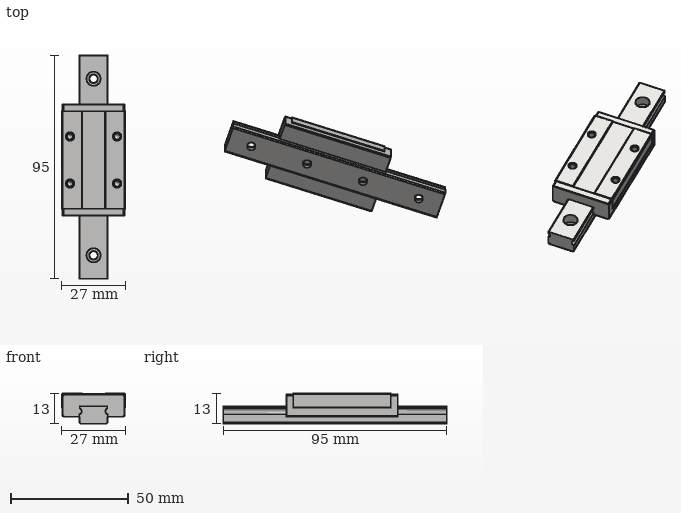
import cadquery as cq
import math

RAIL_LENGTH = 95.0
RAIL_WIDTH = 12.0
RAIL_HEAD_WIDTH = 11.8
RAIL_HEIGHT = 7.5
RAIL_BOTTOM_CHAMFER = 0.6
RAIL_TOP_CHAMFER = 0.15
GROOVE_TOP_Z = 6.6
GROOVE_BOTTOM_Z = 4.0
GROOVE_DEEPEST_Z = 5.2
GROOVE_HALF_SPAN = 5.05

RAIL_HOLE_COUNT = 4
RAIL_HOLE_PITCH = 25.0
RAIL_HOLE_DIAMETER = 3.5
RAIL_COUNTERBORE_DIAMETER = 6.0
RAIL_COUNTERBORE_FLOOR_Z = 3.0

CARRIAGE_Y = 3.0
FRAME_LENGTH = 47.5
FRAME_WIDTH = 26.4
FRAME_BOTTOM_Z = 3.0
FRAME_TOP_Z = 12.5
FRAME_CHAMFER = 0.5
FRAME_END_CHAMFER = 0.2

BLOCK_LENGTH = 41.4
BLOCK_WIDTH = 27.0
BLOCK_BOTTOM_Z = 6.9
BLOCK_TOP_Z = 13.0
BLOCK_CHAMFER = 0.5
BLOCK_BOTTOM_CHAMFER = 0.2
CHANNEL_FLOOR_WIDTH = 9.6
CHANNEL_WIDTH = 10.2
CHANNEL_DEPTH = 0.3

MOUNT_SPACING = 20.0
MOUNT_DIAMETER = 2.6
MOUNT_MOUTH_DIAMETER = 3.6
MOUNT_DEPTH = 3.5
MOUNT_TIP_ANGLE = 118.0


def make_rail():
    """Rail bar with a round ball groove along each side."""
    half_width = RAIL_WIDTH / 2
    half_head = RAIL_HEAD_WIDTH / 2
    right_half = (
        cq.Workplane("XZ", origin=(0, RAIL_LENGTH / 2, 0))
        .lineTo(half_width - RAIL_BOTTOM_CHAMFER, 0)
        .lineTo(half_width, RAIL_BOTTOM_CHAMFER)
        .lineTo(half_width, GROOVE_BOTTOM_Z)
        .threePointArc((GROOVE_HALF_SPAN, GROOVE_DEEPEST_Z), (half_head, GROOVE_TOP_Z))
        .lineTo(half_head, RAIL_HEIGHT - RAIL_TOP_CHAMFER)
        .lineTo(half_head - RAIL_TOP_CHAMFER, RAIL_HEIGHT)
        .lineTo(0, RAIL_HEIGHT)
        .close()
        .extrude(RAIL_LENGTH)
    )
    return right_half.union(right_half.mirror("YZ"))


def make_rail_hole_cutters():
    """Counterbored through holes, evenly pitched about the rail centre."""
    centres = cq.Workplane("XY").rarray(1, RAIL_HOLE_PITCH, 1, RAIL_HOLE_COUNT)
    shanks = centres.circle(RAIL_HOLE_DIAMETER / 2).extrude(RAIL_HEIGHT)
    head_height = RAIL_HEIGHT - RAIL_COUNTERBORE_FLOOR_Z
    heads = centres.circle(RAIL_COUNTERBORE_DIAMETER / 2).extrude(head_height)
    return shanks.union(heads.translate((0, 0, RAIL_COUNTERBORE_FLOOR_Z)))


def make_frame():
    """Plastic end caps joined under the block, with chamfered long edges and end rims."""
    return (
        cq.Workplane("XY", origin=(0, CARRIAGE_Y, FRAME_BOTTOM_Z))
        .rect(FRAME_WIDTH, FRAME_LENGTH)
        .extrude(FRAME_TOP_Z - FRAME_BOTTOM_Z)
        .edges("|Y")
        .chamfer(FRAME_CHAMFER)
        .faces("<Y or >Y")
        .edges("not <Z")
        .chamfer(FRAME_END_CHAMFER)
    )


def make_block():
    """Steel block with chamfered long edges and a shallow channel along its top."""
    block = (
        cq.Workplane("XY", origin=(0, CARRIAGE_Y, BLOCK_BOTTOM_Z))
        .rect(BLOCK_WIDTH, BLOCK_LENGTH)
        .extrude(BLOCK_TOP_Z - BLOCK_BOTTOM_Z)
        .edges("|Y and >Z")
        .chamfer(BLOCK_CHAMFER)
        .edges("|Y and <Z")
        .chamfer(BLOCK_BOTTOM_CHAMFER)
    )
    channel_floor_z = BLOCK_TOP_Z - CHANNEL_DEPTH
    channel = (
        cq.Workplane("XZ", origin=(0, CARRIAGE_Y + BLOCK_LENGTH / 2, 0))
        .moveTo(-CHANNEL_FLOOR_WIDTH / 2, channel_floor_z)
        .lineTo(CHANNEL_FLOOR_WIDTH / 2, channel_floor_z)
        .lineTo(CHANNEL_WIDTH / 2, BLOCK_TOP_Z)
        .lineTo(-CHANNEL_WIDTH / 2, BLOCK_TOP_Z)
        .close()
        .extrude(BLOCK_LENGTH)
    )
    return block.cut(channel)


def make_mounting_hole_cutters():
    """Blind drilled holes with a 45 degree mouth and a conical tip, on a square pattern."""
    radius = MOUNT_DIAMETER / 2
    mouth_radius = MOUNT_MOUTH_DIAMETER / 2
    mouth_depth = mouth_radius - radius
    tip_depth = radius / math.tan(math.radians(MOUNT_TIP_ANGLE / 2))
    drill = (
        cq.Workplane("XZ")
        .lineTo(mouth_radius, 0)
        .lineTo(radius, -mouth_depth)
        .lineTo(radius, -MOUNT_DEPTH)
        .lineTo(0, -MOUNT_DEPTH - tip_depth)
        .close()
        .revolve(360, (0, 0, 0), (0, 1, 0))
        .val()
    )
    return (
        cq.Workplane("XY", origin=(0, CARRIAGE_Y, BLOCK_TOP_Z))
        .rarray(MOUNT_SPACING, MOUNT_SPACING, 2, 2)
        .eachpoint(lambda location: drill.moved(location), combine=False)
    )


rail = make_rail()
carriage = make_frame().union(make_block()).cut(make_mounting_hole_cutters()).cut(rail)
result = rail.cut(make_rail_hole_cutters()).union(carriage)